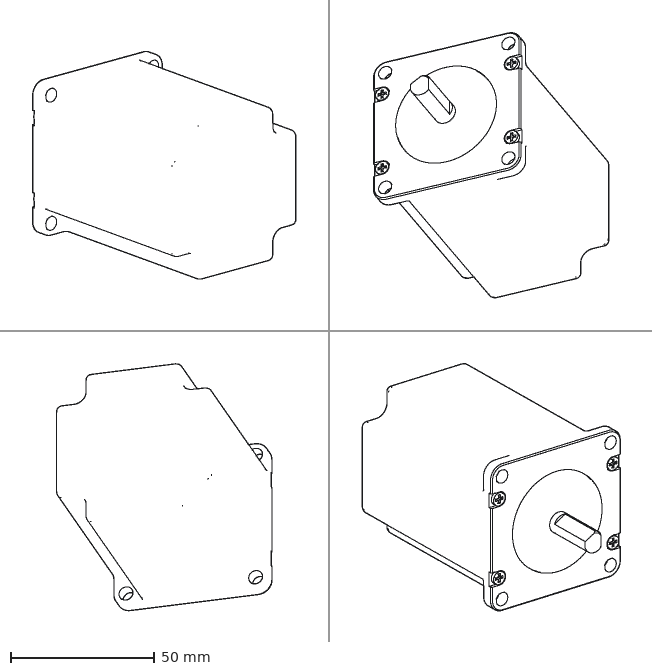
import cadquery as cq


TOLERANCE = 1e-3

frame_size = 56.4
half_frame = frame_size / 2
body_length = 77.6
rear_round = 3.0
flange_thickness = 5.1
flange_corner_radius = 5.0
flange_front_chamfer = 0.5
flange_rear_round = 0.8

notch_size = 10.7
notch_inner_radius = 4.0
notch_edge_radius = 2.0
notch_flange_fillet = 1.0
notch_wall = half_frame - notch_size

hole_spacing = 47.14
hole_diameter = 5.0

pilot_diameter = 38.1
pilot_height = 1.5
pilot_round = 0.5

shaft_diameter = 8.0
shaft_length = 22.1
flat_length = 18.0
flat_distance = 3.0
flat_directions = (180, 60)
tip_chamfer = 0.5

screw_y = 24.75
screw_z = 15.15
recess_width = 5.5
recess_depth = 1.3
head_diameter = 5.0
cross_length = 3.2
cross_width = 0.85
cross_depth = 0.8

CORNERS = [(side_y, side_z) for side_y in (-1, 1) for side_z in (-1, 1)]


def across_shaft(x):
    """Plane across the shaft axis at x: local axes are +Y and +Z, extrusion goes toward +X."""
    return cq.Workplane("YZ", origin=(x, 0, 0))


def make_flange():
    """Square mounting plate with rounded corners and a chamfered front edge."""
    plate = across_shaft(0).rect(frame_size, frame_size).extrude(flange_thickness)
    plate = plate.edges("|X").fillet(flange_corner_radius)
    return plate.faces("<X").edges().chamfer(flange_front_chamfer)


def make_body():
    """Housing behind the flange, with a notch along each corner and a rounded rear end."""
    length = body_length - flange_thickness
    body = across_shaft(flange_thickness).rect(frame_size, frame_size).extrude(length)
    for side_y, side_z in CORNERS:
        notch = (
            across_shaft(flange_thickness)
            .center(side_y * half_frame, side_z * half_frame)
            .rect(2 * notch_size, 2 * notch_size)
            .extrude(length)
            .edges("|X")
            .fillet(notch_inner_radius)
        )
        body = body.cut(notch)
    return body.faces(">X").edges().fillet(rear_round)


def on_flange_rear(edge):
    """True for edges lying in the rear face of the flange."""
    box = edge.BoundingBox()
    return abs(box.xmin - flange_thickness) < TOLERANCE and abs(box.xmax - flange_thickness) < TOLERANCE


def is_notch_foot(edge):
    """True for edges where the notch walls of the body stand on the flange."""
    center = edge.Center()
    inner, outer = sorted((abs(center.y), abs(center.z)))
    return on_flange_rear(edge) and inner < notch_wall + notch_inner_radius and outer < half_frame - TOLERANCE


def is_flange_corner(edge):
    """True for the rear corner arcs of the flange."""
    center = edge.Center()
    return on_flange_rear(edge) and min(abs(center.y), abs(center.z)) > half_frame - flange_corner_radius


def round_notch_rims(part):
    """Round each notch rim in one run: a small radius on the flange grows to a larger one on the body."""
    rounding = cq.occ_impl.shapes.BRepFilletAPI_MakeFillet(part.val().wrapped)
    for corner in part.edges().filter(is_flange_corner).vals():
        rounding.Add(flange_rear_round, corner.wrapped)
    for rim in range(1, rounding.NbContours() + 1):
        edge_count = rounding.NbEdges(rim)
        for index in range(1, edge_count + 1):
            edge = cq.Edge(rounding.Edge(rim, index))
            box = edge.BoundingBox()
            if on_flange_rear(edge):
                radii = (flange_rear_round, flange_rear_round)
            elif box.xmax > flange_thickness + notch_flange_fillet + TOLERANCE:
                radii = (notch_edge_radius, notch_edge_radius)
            elif index <= edge_count / 2:
                radii = (notch_edge_radius, flange_rear_round)
            else:
                radii = (flange_rear_round, notch_edge_radius)
            rounding.SetRadius(*radii, rim, index)
    return cq.Workplane(cq.Shape.cast(rounding.Shape()).Solids()[0])


def make_pilot():
    """Centring boss in front of the flange."""
    pilot = across_shaft(-pilot_height).circle(pilot_diameter / 2).extrude(pilot_height)
    return pilot.faces("<X").edges().fillet(pilot_round)


def make_shaft():
    """Output shaft with two flats at its tip; the rim between the flats is chamfered."""
    radius = shaft_diameter / 2
    shaft = across_shaft(-shaft_length).circle(radius).extrude(shaft_length)
    for direction in flat_directions:
        cutter = (
            cq.Workplane("XY")
            .box(flat_length, radius, shaft_diameter, centered=(False, False, True))
            .translate((-shaft_length, flat_distance, 0))
            .rotate((0, 0, 0), (1, 0, 0), direction)
        )
        shaft = shaft.cut(cutter)
    tip_arcs = shaft.faces("<X").edges("%CIRCLE")
    return tip_arcs.edges(">Z").chamfer(tip_chamfer)


def cut_mounting_holes(part):
    holes = (
        across_shaft(0)
        .rect(hole_spacing, hole_spacing, forConstruction=True)
        .vertices()
        .circle(hole_diameter / 2)
        .extrude(flange_thickness)
    )
    return part.cut(holes)


def make_screw_recess(side_y, side_z):
    """Round pocket around a screw, open to the side of the flange."""
    y = side_y * screw_y
    z = side_z * screw_z
    pocket = across_shaft(0).center(y, z).circle(recess_width / 2).extrude(recess_depth)
    opening = across_shaft(0).center(y + side_y * recess_width / 2, z)
    return pocket.union(opening.rect(recess_width, recess_width).extrude(recess_depth))


def make_screw_head(side_y, side_z):
    """Screw head with a cross recess, flush with the mounting face."""
    y = side_y * screw_y
    z = side_z * screw_z
    head = across_shaft(0).center(y, z).circle(head_diameter / 2).extrude(recess_depth)
    for size in ((cross_length, cross_width), (cross_width, cross_length)):
        head = head.cut(across_shaft(0).center(y, z).rect(*size).extrude(cross_depth))
    return head


result = make_flange().union(make_body())
result = result.edges().filter(is_notch_foot).fillet(notch_flange_fillet)
result = round_notch_rims(result)
result = cut_mounting_holes(result)
for side_y, side_z in CORNERS:
    result = result.cut(make_screw_recess(side_y, side_z)).union(make_screw_head(side_y, side_z))
result = result.union(make_pilot()).union(make_shaft())